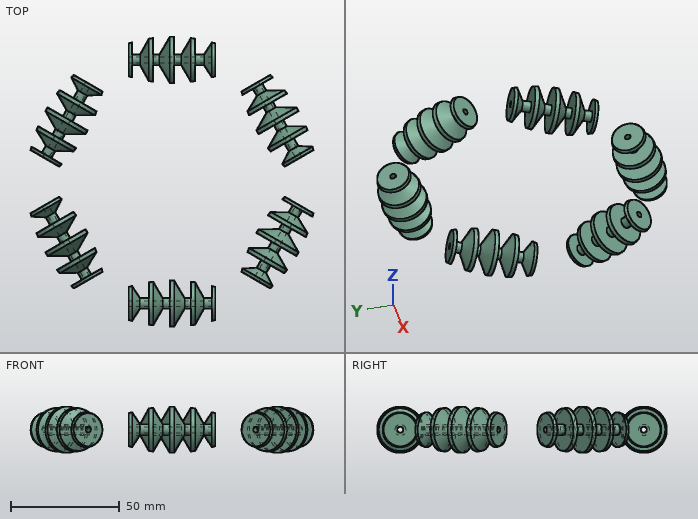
import cadquery as cq
import math

ROLLER_COUNT = 6
WHEEL_RADIUS = 67.0
CROWN_RADIUS = 10.7
AXIS_DISTANCE = WHEEL_RADIUS - CROWN_RADIUS

ROLLER_LENGTH = 40.0
CORE_RADIUS = 2.5
BORE_RADIUS = 1.3

DISC_WIDTH = 2.0
END_DISC_WIDTH = 1.6
INNER_DISC_SPAN = 19.4

FIRST_CONE_LENGTH = 3.6
SECOND_CONE_LENGTH = 4.4
THIRD_CONE_LENGTH = 4.8
FOURTH_CONE_LENGTH = 4.0

HALF_LENGTH = ROLLER_LENGTH / 2
HALF_DISC = DISC_WIDTH / 2
DISC_SPACING = INNER_DISC_SPAN / 2

DISCS = [
    (-HALF_LENGTH, END_DISC_WIDTH, FIRST_CONE_LENGTH),
    (-DISC_SPACING - HALF_DISC, DISC_WIDTH, SECOND_CONE_LENGTH),
    (-HALF_DISC, DISC_WIDTH, THIRD_CONE_LENGTH),
    (DISC_SPACING - HALF_DISC, DISC_WIDTH, FOURTH_CONE_LENGTH),
    (HALF_LENGTH - END_DISC_WIDTH, END_DISC_WIDTH, 0),
]


def rim_point(x):
    """Point of the barrel outline at position x along the roller axis."""
    return (x, math.sqrt(WHEEL_RADIUS**2 - x**2) - AXIS_DISTANCE)


def make_roller():
    """Bored core with crowned discs and cones, turned about the X axis."""
    profile = cq.Workplane("XZ").moveTo(-HALF_LENGTH, BORE_RADIUS)
    for start, width, cone_length in DISCS:
        end = start + width
        if start > -HALF_LENGTH:
            profile = profile.lineTo(start, CORE_RADIUS)
        profile = profile.lineTo(*rim_point(start))
        profile = profile.threePointArc(rim_point(start + width / 2), rim_point(end))
        if cone_length > 0:
            profile = profile.lineTo(end + cone_length, CORE_RADIUS)
    profile = profile.lineTo(HALF_LENGTH, BORE_RADIUS).close()
    return profile.revolve(360, (0, 0, 0), (1, 0, 0))


def make_rollers():
    """Equal rollers around the Z axis, each tangent to the ring."""
    first_roller = make_roller().translate((0, -AXIS_DISTANCE, 0))
    rollers = []
    for index in range(ROLLER_COUNT):
        angle = index * 360 / ROLLER_COUNT
        rollers.append(first_roller.rotate((0, 0, 0), (0, 0, 1), angle).val())
    return rollers


result = cq.Compound.makeCompound(make_rollers())